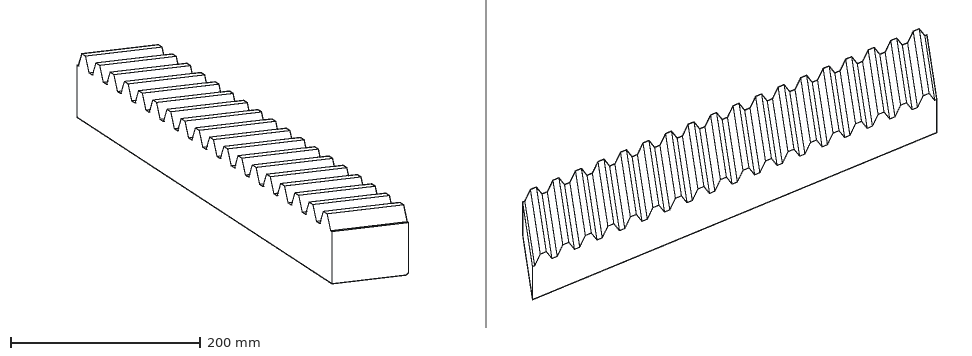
import cadquery as cq
import math

overall_length = 506.5
width = 79.0
height = 79.0

tooth_count = 18
helix_angle = 19.5
pressure_angle = 20.0
end_gap = 1.0
crest_width = 7.0
tooth_depth = 17.0
back_chamfer = 2.5

helix_shift = width * math.tan(math.radians(helix_angle))
body_length = overall_length - helix_shift
pitch = (body_length + end_gap) / tooth_count
flank_slope = math.tan(math.radians(pressure_angle)) / math.cos(math.radians(helix_angle))
flank_run = tooth_depth * flank_slope

x_start = -overall_length / 2
x_end = x_start + body_length
root_z = height - tooth_depth


def tooth_points(center_x):
    """Corners of one trapezoidal tooth, from left root to right root."""
    half_crest = crest_width / 2
    half_root = half_crest + flank_run
    return [
        (center_x - half_root, root_z),
        (center_x - half_crest, height),
        (center_x + half_crest, height),
        (center_x + half_root, root_z),
    ]


def front_outline():
    """Front profile: plain base with a centred row of teeth on top."""
    first_center = (x_start + x_end) / 2 - (tooth_count - 1) * pitch / 2
    points = [(x_start, 0), (x_start, root_z)]
    for index in range(tooth_count):
        points += tooth_points(first_center + index * pitch)
    points += [(x_end, root_z), (x_end, 0)]
    return points


def oblique_rack():
    """Sweep the front profile along the slanted tooth direction."""
    helix_path = cq.Workplane("XY").moveTo(x_start, -width / 2).lineTo(x_start + helix_shift, width / 2)
    profile = cq.Workplane("XZ", origin=(0, -width / 2, 0)).polyline(front_outline()).close()
    return profile.sweep(helix_path)


def back_edge_cutter():
    """Triangular bar that chamfers the lower back edge."""
    corner = [
        (width / 2, 0),
        (width / 2, back_chamfer),
        (width / 2 - back_chamfer, 0),
    ]
    section = cq.Workplane("YZ").polyline(corner).close()
    return section.extrude(overall_length, both=True)


result = oblique_rack().cut(back_edge_cutter())